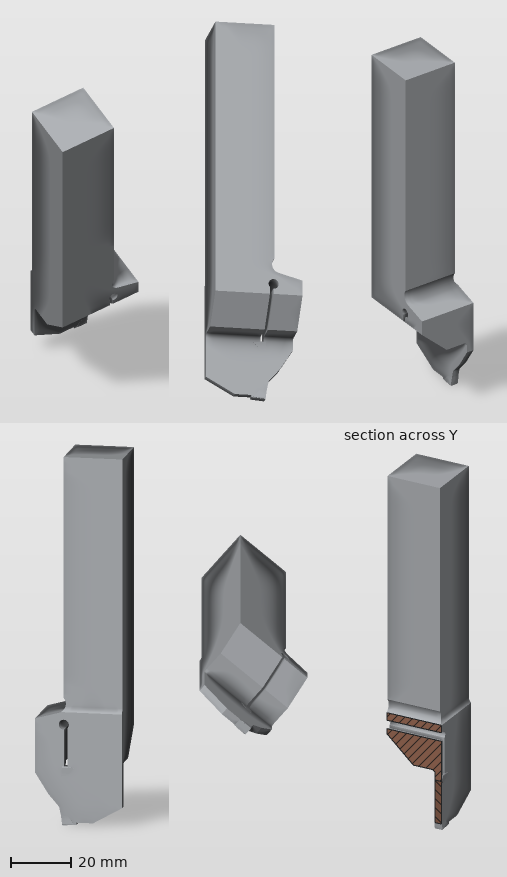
import cadquery as cq
import math


length = 125.0
overall_width = 21.0
shank_size = 19.9
head_height = 29.4
shank_x = overall_width - shank_size

blade_x = 0.19
blade_thickness = 2.6
blade_back_x = blade_x + blade_thickness
blade_bottom_z = 1.1
heel_y = 9.8
heel_z = 6.6
nose_top_z = 17.6
nose_kink_y = 24.9
nose_kink_z = 10.5

head_top_z = 36.0
head_slope = math.radians(15.5)
relief_radius = 3.0
relief_center_y = 22.1
head_under_z = 21.5
head_under_x = 11.0
head_chamfer_z = 30.8
root_fillet = 1.2
step_top_z = 40.2
step_bottom_z = 38.5

slot_y_min = 18.4
slot_width = 1.1
slot_hole_diameter = 3.4
slot_hole_y = 19.6
slot_hole_z = 34.2

insert_seat_y = 15.4
insert_top_z = 20.1
insert_mid_z = insert_top_z / 2
insert_seat_end = 0.4
insert_crown_y = 21.2
insert_crown_half = 3.8
insert_neck_y = 20.6
insert_neck_end = 3.5
insert_edge_y = 20.1
tip_width = blade_thickness + 2 * blade_x
tip_root_y = 16.1
tip_shoulder_y = 18.1
tip_shoulder_end = 3.0
tip_side_length = 2.5
tip_back_relief = 0.15
tip_corner = 0.5


def extrude_along_x(outline, x_start, x_end):
    """Prism of a YZ outline between two X positions."""
    return outline.extrude(x_end - x_start).translate((x_start, 0, 0))


def side_profile():
    """YZ silhouette of the shank, the head and the blade, all through X."""
    relief_normal_y = relief_radius * math.sin(head_slope)
    relief_normal_z = relief_radius * math.cos(head_slope)
    tangent_y = relief_center_y - relief_normal_y
    tangent_z = head_top_z + (head_height - tangent_y) * math.tan(head_slope)
    relief_center_z = tangent_z + relief_normal_z
    shank_offset = relief_center_y - shank_size
    relief_end_z = relief_center_z + math.sqrt(relief_radius**2 - shank_offset**2)
    outline = (
        cq.Workplane("YZ")
        .moveTo(0, length)
        .lineTo(0, heel_z)
        .lineTo(heel_y, blade_bottom_z)
        .lineTo(insert_seat_y, blade_bottom_z)
        .lineTo(insert_seat_y, insert_mid_z - insert_crown_half)
        .lineTo(insert_crown_y, insert_mid_z - insert_crown_half)
        .lineTo(nose_kink_y, nose_kink_z)
        .lineTo(head_height, nose_top_z)
        .lineTo(head_height, head_top_z)
        .lineTo(tangent_y, tangent_z)
        .threePointArc(
            (relief_center_y - relief_radius, relief_center_z),
            (shank_size, relief_end_z),
        )
        .lineTo(shank_size, length)
        .close()
    )
    return extrude_along_x(outline, 0, overall_width)


def front_profile():
    """XZ silhouette: shank, stepped face, blade and chamfered head, all through Y."""
    step_depth = shank_x - blade_x
    step_drop = step_top_z - step_bottom_z
    step_radius = (step_depth**2 + step_drop**2) / (2 * step_depth)
    half_angle = math.atan(step_depth / step_drop)
    step_mid = (
        shank_x - step_radius * (1 - math.cos(half_angle)),
        step_top_z - step_radius * math.sin(half_angle),
    )
    root_mid = root_fillet * (1 - math.sqrt(0.5))
    return (
        cq.Workplane("XZ")
        .moveTo(shank_x, length)
        .lineTo(shank_x, step_top_z)
        .threePointArc(step_mid, (blade_x, step_bottom_z))
        .lineTo(blade_x, 0)
        .lineTo(blade_back_x, 0)
        .lineTo(blade_back_x, head_under_z - root_fillet)
        .threePointArc(
            (blade_back_x + root_mid, head_under_z - root_mid),
            (blade_back_x + root_fillet, head_under_z),
        )
        .lineTo(head_under_x, head_under_z)
        .lineTo(overall_width, head_chamfer_z)
        .lineTo(overall_width, length)
        .close()
        .extrude(-head_height)
    )


def insert_body():
    """Body of the double-ended insert, symmetric about its mid height."""
    lower = [
        (insert_seat_y, insert_seat_end),
        (insert_edge_y, 0),
        (insert_neck_y, insert_neck_end),
        (insert_crown_y, insert_mid_z - insert_crown_half),
    ]
    upper = [(y, insert_top_z - z) for y, z in reversed(lower)]
    outline = cq.Workplane("YZ").polyline(lower + upper).close()
    return extrude_along_x(outline, blade_x, blade_back_x)


def cutting_tip():
    """Lower cutting tip: side outline crossed with a front outline that narrows behind the edge."""
    side_outline = (
        cq.Workplane("YZ")
        .moveTo(insert_edge_y, 0)
        .lineTo(insert_neck_y, insert_neck_end)
        .lineTo(tip_shoulder_y, tip_shoulder_end)
        .lineTo(tip_root_y, tip_corner)
        .close()
    )
    corner_mid = tip_corner * (1 - math.sqrt(0.5))
    front = (
        cq.Workplane("XZ")
        .moveTo(tip_corner, 0)
        .lineTo(tip_width - tip_corner, 0)
        .threePointArc((tip_width - corner_mid, corner_mid), (tip_width, tip_corner))
        .lineTo(tip_width - tip_back_relief, tip_side_length)
        .lineTo(blade_back_x, insert_neck_end)
        .lineTo(blade_x, insert_neck_end)
        .lineTo(tip_back_relief, tip_side_length)
        .lineTo(0, tip_corner)
        .threePointArc((corner_mid, corner_mid), (tip_corner, 0))
        .close()
        .extrude(-head_height)
    )
    return extrude_along_x(side_outline, 0, tip_width).intersect(front)


def make_insert():
    """Insert body with a mirrored pair of cutting tips."""
    lower_tip = cutting_tip()
    upper_tip = lower_tip.mirror("XY", (0, 0, insert_mid_z))
    return insert_body().union(lower_tip).union(upper_tip)


def make_holder(insert):
    """Shank, head and blade with the clamping slot and a seat that fits the insert."""
    slot_height = slot_hole_z - insert_mid_z
    slot = extrude_along_x(
        cq.Workplane("YZ")
        .moveTo(slot_y_min, insert_mid_z)
        .rect(slot_width, slot_height, centered=False),
        0,
        overall_width,
    )
    hole = extrude_along_x(
        cq.Workplane("YZ").center(slot_hole_y, slot_hole_z).circle(slot_hole_diameter / 2),
        0,
        overall_width,
    )
    return side_profile().intersect(front_profile()).cut(slot).cut(hole).cut(insert)


insert = make_insert()
holder = make_holder(insert)

result = cq.Compound.makeCompound([holder.solids().val(), insert.solids().val()])